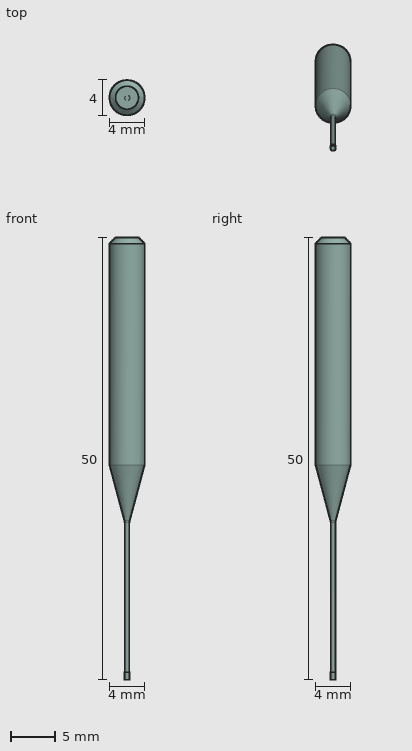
import cadquery as cq

TOTAL_LENGTH = 50.0
TIP_LENGTH = 0.9
NECK_TOP = 17.8
COLLAR_HEIGHT = 0.25
SHANK_BOTTOM = 24.3
CHAMFER_HEIGHT = 0.7

SHANK_RADIUS = 2.0
TOP_FACE_RADIUS = 1.3
TAPER_END_RADIUS = 0.325
NECK_RADIUS = 0.275
TIP_RADIUS = 0.3


def make_holder():
    """Revolve the neck, taper and chamfered shank about Z."""
    outline = [
        (0, TIP_LENGTH),
        (NECK_RADIUS, TIP_LENGTH),
        (NECK_RADIUS, NECK_TOP),
        (TAPER_END_RADIUS, NECK_TOP + COLLAR_HEIGHT),
        (SHANK_RADIUS, SHANK_BOTTOM),
        (SHANK_RADIUS, TOTAL_LENGTH - CHAMFER_HEIGHT),
        (TOP_FACE_RADIUS, TOTAL_LENGTH),
        (0, TOTAL_LENGTH),
    ]
    return cq.Workplane("XZ").polyline(outline).close().revolve(360, (0, 0), (0, 1))


def make_cutting_tip():
    """Plain cylindrical tip that meets the lower end of the neck."""
    return cq.Workplane("XY").circle(TIP_RADIUS).extrude(TIP_LENGTH)


holder = make_holder()
cutting_tip = make_cutting_tip()

result = cq.Compound.makeCompound([holder.val(), cutting_tip.val()])